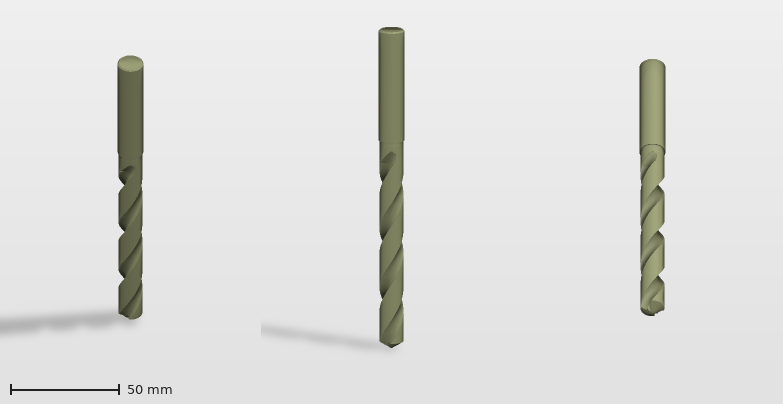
import cadquery as cq
import math

TOTAL_LENGTH = 151.0
SHANK_START = 98.6
NECK_START = 96.3
SPLIT_HEIGHT = 71.4
HELIX_END = 88.2

SHANK_DIAMETER = 12.0
NECK_DIAMETER = 10.9
DRILL_DIAMETER = 11.0
SHANK_CHAMFER = 0.6
POINT_ANGLE = 118.0

FLUTE_COUNT = 2
FLUTE_PITCH = 55.3
FLUTE_RADIUS = 2.9
FLUTE_OFFSET = 5.6
FLUTE_END_ANGLE = -55.0
RUNOUT_LEAN = 41.0
RUNOUT_TILT = 8.0
RUNOUT_LENGTH = 6.3

GASH_RADIUS = 0.9
GASH_START = (0.5, -1.4, -0.9)
GASH_END = (2.3, -3.5, 4.0)

ROD_MARGIN = 1.5
END_MARGIN = 1.5

drill_radius = DRILL_DIAMETER / 2
shank_radius = SHANK_DIAMETER / 2
point_height = drill_radius / math.tan(math.radians(POINT_ANGLE / 2))
helix_angle = math.atan2(2 * math.pi * FLUTE_OFFSET, FLUTE_PITCH)
flute_end_angles = [FLUTE_END_ANGLE + index * 360 / FLUTE_COUNT for index in range(FLUTE_COUNT)]


def make_fluted_rod(bottom, top):
    """Oversized rod between two heights, with its fluted section twisted along the helix."""
    rod_radius = drill_radius + ROD_MARGIN
    section = cq.Face.makeFromWires(cq.Wire.makeCircle(rod_radius, cq.Vector(), cq.Vector(0, 0, 1)))
    groove = (
        cq.Workplane("XY")
        .pushPoints([(FLUTE_OFFSET, 0)])
        .ellipse(FLUTE_RADIUS, FLUTE_RADIUS / math.cos(helix_angle))
        .wires()
        .val()
    )
    groove_face = cq.Face.makeFromWires(groove)
    bottom_angle = 360 * (bottom - HELIX_END) / FLUTE_PITCH
    for end_angle in flute_end_angles:
        turned = groove_face.rotate(cq.Vector(), cq.Vector(0, 0, 1), end_angle + bottom_angle)
        section = section.cut(turned)
    twist = 360 * (top - bottom) / FLUTE_PITCH
    rod = cq.Solid.extrudeLinearWithRotation(
        section.Faces()[0], cq.Vector(), cq.Vector(0, 0, top - bottom), twist
    )
    return cq.Workplane(rod.translate(cq.Vector(0, 0, bottom)))


def make_runout(end_angle):
    """Round bar leaning along the rim and sloping outward, cut level where the helix ends."""
    lean = math.radians(RUNOUT_LEAN)
    tilt = math.radians(RUNOUT_TILT)
    direction = cq.Vector(
        math.sin(tilt),
        math.cos(tilt) * math.sin(lean),
        math.cos(tilt) * math.cos(lean),
    )
    overlap = 2 * FLUTE_RADIUS
    start = cq.Vector(FLUTE_OFFSET, 0, HELIX_END) - direction * overlap
    bar = cq.Workplane(
        cq.Solid.makeCylinder(FLUTE_RADIUS, RUNOUT_LENGTH + overlap, start, direction)
    )
    above_helix = cq.Workplane("XY", origin=(0, 0, HELIX_END)).circle(TOTAL_LENGTH).extrude(TOTAL_LENGTH)
    return bar.intersect(above_helix).rotate((0, 0, 0), (0, 0, 1), end_angle)


def make_point_gash(angle):
    """Short round-bottomed gash that thins the web beside the point."""
    start = cq.Vector(*GASH_START)
    direction = cq.Vector(*GASH_END) - start
    bar = cq.Solid.makeCylinder(GASH_RADIUS, direction.Length, start, direction)
    return cq.Workplane(bar).rotate((0, 0, 0), (0, 0, 1), angle)


def make_cutting_part():
    """Lower fluted body with the conical point."""
    blank = (
        cq.Workplane("XZ")
        .polyline([(0, 0), (drill_radius, point_height), (drill_radius, SPLIT_HEIGHT), (0, SPLIT_HEIGHT)])
        .close()
        .revolve(360, (0, 0), (0, 1))
    )
    body = blank.intersect(make_fluted_rod(-END_MARGIN, SPLIT_HEIGHT + END_MARGIN))
    for index in range(FLUTE_COUNT):
        body = body.cut(make_point_gash(index * 360 / FLUTE_COUNT))
    return body


def make_shank_part():
    """Upper body: end of the flutes, tapered neck and plain round shank."""
    upper_body = (
        cq.Workplane("XZ")
        .moveTo(0, HELIX_END)
        .lineTo(drill_radius, HELIX_END)
        .lineTo(drill_radius, NECK_START)
        .lineTo(NECK_DIAMETER / 2, SHANK_START)
        .lineTo(shank_radius, SHANK_START)
        .lineTo(shank_radius, TOTAL_LENGTH - SHANK_CHAMFER)
        .lineTo(shank_radius - SHANK_CHAMFER, TOTAL_LENGTH)
        .lineTo(0, TOTAL_LENGTH)
        .close()
        .revolve(360, (0, 0), (0, 1))
    )
    for end_angle in flute_end_angles:
        upper_body = upper_body.cut(make_runout(end_angle))
    fluted_end = (
        cq.Workplane("XY", origin=(0, 0, SPLIT_HEIGHT))
        .circle(drill_radius)
        .extrude(HELIX_END - SPLIT_HEIGHT)
        .intersect(make_fluted_rod(SPLIT_HEIGHT - END_MARGIN, HELIX_END + END_MARGIN))
    )
    return upper_body.union(fluted_end, clean=False)


cutting_part = make_cutting_part()
shank_part = make_shank_part()
result = cq.Compound.makeCompound([cutting_part.solids().val(), shank_part.val()])